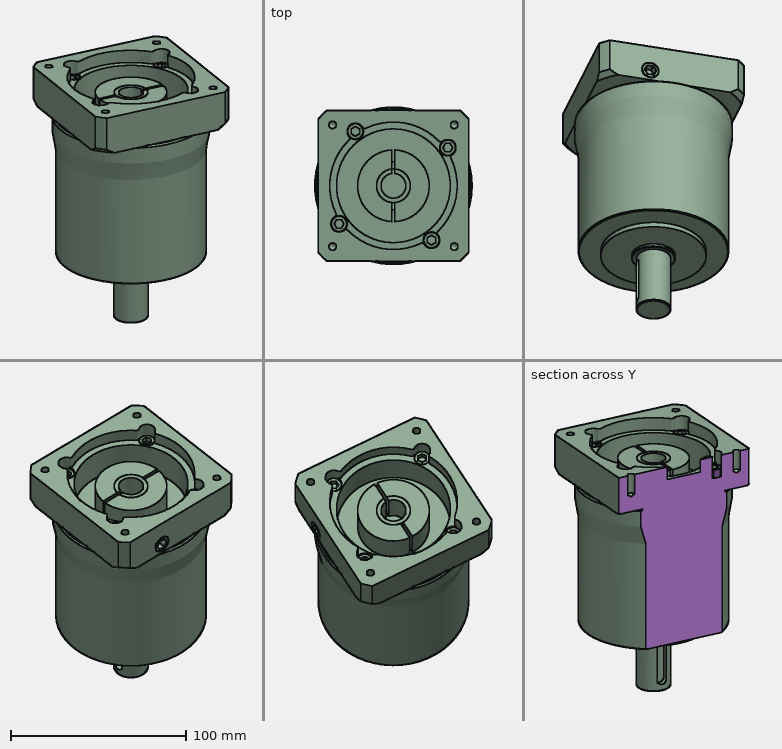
import cadquery as cq
import math

total_height = 150.5
shaft_length = 35.0
collar_top_z = 37.0
output_face_z = 40.0
cone_bottom_z = 105.7
cone_top_z = 117.0
cavity_floor_z = 123.4
flange_seat_z = 127.6
hub_top_z = 141.0
ledge_z = 142.8

body_radius = 43.0
rim_radius = 45.0
rim_chamfer = 1.0
face_chamfer = 0.6

pilot_radius = 30.1
collar_radius = 12.5
collar_chamfer = 0.5
shaft_radius = 10.0
shaft_chamfer = 0.6
keyway_width = 6.0
keyway_depth = 3.5
keyway_length = 28.0
keyway_bottom_z = 4.0

flange_width = 2 * body_radius
flange_height = total_height - flange_seat_z
corner_radius = 57.5
corner_chamfer = 3.0
ledge_radius = 36.4
cavity_radius = 32.5
mounting_hole_spacing = 69.5
mounting_hole_radius = 2.1
mounting_hole_depth = 12.0
drill_point_angle = 118.0

hub_radius = 20.5
sleeve_radius = 9.6
sleeve_recess = 0.2
bore_radius = 7.0
slit_width = 1.7
slit_step_radius = 13.8
slit_step_height = 1.5

hexagon_sides = 6

plug_y = 14.0
plug_z = 134.4
plug_hole_radius = 5.0
plug_groove_width = 0.08
plug_radius = plug_hole_radius - plug_groove_width
plug_groove_depth = 0.8
plug_socket_corners = 6.9
plug_socket_depth = 4.5

screw_count = 4
screw_pitch = 360.0 / screw_count
screw_circle_radius = 38.0
first_screw_angle = 35.0
head_radius = 4.4
head_height = 5.0
head_clearance = 0.3
head_sink = 0.8
head_socket_corners = 5.5
head_socket_depth = 3.0
pocket_radius = head_radius + head_clearance
pocket_fillet = 1.5
head_top_z = ledge_z - head_sink
head_seat_z = head_top_z - head_height
first_screw_x = screw_circle_radius * math.cos(math.radians(first_screw_angle))
first_screw_y = screw_circle_radius * math.sin(math.radians(first_screw_angle))


def cylinder(radius, bottom_z, top_z, x=0.0, y=0.0):
    """Upright cylinder between two heights."""
    base = cq.Workplane("XY", origin=(x, y, bottom_z))
    return base.circle(radius).extrude(top_z - bottom_z)


def around_axis(shape, index):
    """Copy of a shape turned to one of the screw places."""
    return shape.rotate((0, 0, 0), (0, 0, 1), index * screw_pitch)


def make_barrel():
    """Turned gearbox barrel with its rim, pilot, collar and output shaft."""
    profile = [
        (0, 0),
        (shaft_radius - shaft_chamfer, 0),
        (shaft_radius, shaft_chamfer),
        (shaft_radius, shaft_length),
        (collar_radius - collar_chamfer, shaft_length),
        (collar_radius, shaft_length + collar_chamfer),
        (collar_radius, collar_top_z),
        (pilot_radius, collar_top_z),
        (pilot_radius, output_face_z),
        (body_radius - face_chamfer, output_face_z),
        (body_radius, output_face_z + face_chamfer),
        (body_radius, cone_bottom_z),
        (rim_radius, cone_top_z),
        (rim_radius, flange_seat_z - rim_chamfer),
        (rim_radius - rim_chamfer, flange_seat_z),
        (0, flange_seat_z),
    ]
    return cq.Workplane("XZ").polyline(profile).close().revolve(360, (0, 0), (0, 1))


def make_keyway():
    """Round-ended keyway on the +Y side of the shaft."""
    middle_z = keyway_bottom_z + keyway_length / 2
    plane = cq.Workplane("XZ", origin=(0, shaft_radius, middle_z))
    return plane.slot2D(keyway_length, keyway_width, 90).extrude(keyway_depth)


def make_flange_block():
    """Square block with its corners turned to a cylinder and chamfered below."""
    square = cq.Workplane("XY", origin=(0, 0, flange_seat_z)).rect(flange_width, flange_width)
    turned = cylinder(corner_radius, flange_seat_z, total_height).faces("<Z").chamfer(corner_chamfer)
    return square.extrude(flange_height).intersect(turned)


def make_ledge_recess():
    """Round recess above the ledge, widened by a filleted scallop over each screw."""
    recess = cylinder(ledge_radius, ledge_z, total_height)
    scallop = cylinder(pocket_radius, ledge_z, total_height, first_screw_x, first_screw_y)
    for index in range(screw_count):
        recess = recess.union(around_axis(scallop, index))

    crossing_cosine = (screw_circle_radius**2 + ledge_radius**2 - pocket_radius**2) / (
        2 * screw_circle_radius * ledge_radius
    )
    half_angle = math.degrees(math.acos(crossing_cosine))
    for index in range(screw_count):
        for side in (-1, 1):
            angle = math.radians(first_screw_angle + index * screw_pitch + side * half_angle)
            corner = (
                ledge_radius * math.cos(angle),
                ledge_radius * math.sin(angle),
                (ledge_z + total_height) / 2,
            )
            recess = recess.edges(cq.selectors.NearestToPointSelector(corner)).fillet(pocket_fillet)
    return recess


def make_mounting_holes():
    """Blind drilled holes with conical bottoms near the flange corners."""
    point_height = mounting_hole_radius / math.tan(math.radians(drill_point_angle / 2))
    drill_profile = [
        (0, 0),
        (mounting_hole_radius, 0),
        (mounting_hole_radius, -mounting_hole_depth),
        (0, -mounting_hole_depth - point_height),
    ]
    drill = cq.Workplane("XZ").polyline(drill_profile).close().revolve(360, (0, 0), (0, 1)).val()
    corners = cq.Workplane("XY", origin=(0, 0, total_height)).rect(
        mounting_hole_spacing, mounting_hole_spacing, forConstruction=True
    )
    return corners.vertices().eachpoint(lambda place: drill.moved(place), combine=True)


def make_plug_cut():
    """Hexagon socket and the thin ring groove that outlines the plug."""
    plane = cq.Workplane("YZ", origin=(-body_radius, plug_y, plug_z))
    groove = plane.circle(plug_hole_radius).circle(plug_radius).extrude(plug_groove_depth)
    socket = plane.polygon(hexagon_sides, plug_socket_corners).extrude(plug_socket_depth)
    return groove.union(socket)


def make_clamping_hub():
    """Hub slit on both sides, around a sleeve that is slit on the +Y side only."""
    hub = cylinder(hub_radius, cavity_floor_z, hub_top_z)
    full_slit = cq.Workplane("XY", origin=(0, 0, cavity_floor_z)).rect(slit_width, 2 * hub_radius)
    hub = hub.cut(full_slit.extrude(hub_top_z - cavity_floor_z))
    hub = hub.union(cylinder(slit_step_radius, cavity_floor_z, cavity_floor_z + slit_step_height))
    hub = hub.cut(cylinder(sleeve_radius, cavity_floor_z, hub_top_z))

    sleeve_top_z = hub_top_z - sleeve_recess
    sleeve = cylinder(sleeve_radius, cavity_floor_z, sleeve_top_z)
    sleeve = sleeve.cut(cylinder(bore_radius, cavity_floor_z, sleeve_top_z))
    sleeve_slit = cq.Workplane("XY", origin=(0, sleeve_radius / 2, cavity_floor_z))
    sleeve = sleeve.cut(sleeve_slit.rect(slit_width, sleeve_radius).extrude(sleeve_top_z - cavity_floor_z))
    return hub.union(sleeve)


def make_housing():
    """Gearbox with its motor flange, clamping hub and output shaft."""
    housing = make_barrel().cut(make_keyway()).union(make_flange_block())
    housing = housing.cut(make_ledge_recess())
    housing = housing.cut(cylinder(cavity_radius, cavity_floor_z, total_height))
    housing = housing.cut(make_mounting_holes())
    housing = housing.cut(make_plug_cut())

    head_pocket = cylinder(pocket_radius, head_seat_z, ledge_z, first_screw_x, first_screw_y)
    for index in range(screw_count):
        housing = housing.cut(around_axis(head_pocket, index))
    return housing.union(make_clamping_hub())


def make_screw(index):
    """Socket screw head resting on the seat of its pocket."""
    head = cylinder(head_radius, head_seat_z, head_top_z, first_screw_x, first_screw_y)
    socket_plane = cq.Workplane("XY", origin=(first_screw_x, first_screw_y, head_top_z))
    socket = socket_plane.polygon(hexagon_sides, head_socket_corners).extrude(-head_socket_depth)
    return around_axis(head.cut(socket), index)


housing = make_housing()
screws = [make_screw(index) for index in range(screw_count)]

result = cq.Compound.makeCompound([housing.solids().val(), *[screw.solids().val() for screw in screws]])